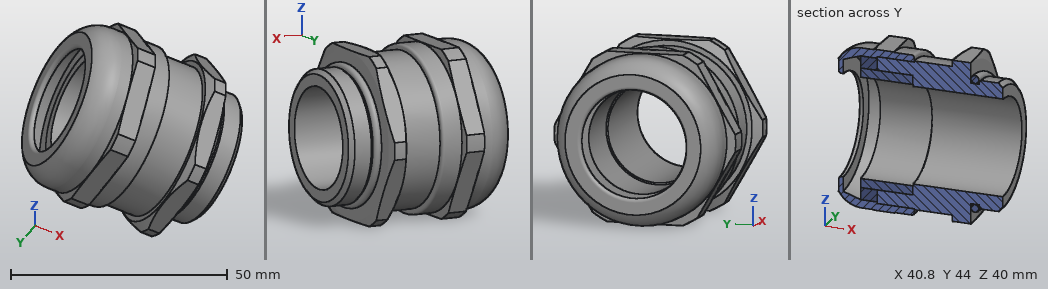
import cadquery as cq
import math

total_length = 40.75

hex_across_flats = 40.0
hex_corner_radius = 22.0
hex_face_radius = 19.8

cap_radius = 39.8 / 2
cap_end_x = 18.8
cap_end_round = 0.65
dome_end_x = 5.9
dome_face_radius = 16.45
lip_round = 0.8
lip_radius = 25.5 / 2
lip_end_x = 1.2
cavity_front_radius = 32.6 / 2
cap_hex_start_x = 8.85
cap_hex_end_x = 13.8
cap_hex_chamfer = 0.18

insert_start_x = 5.5
seal_end_x = 18.48
seal_bore_radius = 25.0 / 2
seal_radius = 29.8 / 2
cage_radius = 35.5 / 2

thread_start_x = 9.68
thread_radius = 36.25 / 2
barrel_radius = 37.0 / 2
housing_bore_radius = 24.1 / 2
housing_hex_start_x = 28.15
housing_hex_end_x = 32.8
housing_hex_front_chamfer = 1.28
housing_hex_rear_chamfer = 0.45
spigot_radius = 32.0 / 2
spigot_front_chamfer = 0.53
spigot_end_chamfer = 1.1

o_ring_outer_radius = 34.0 / 2
groove_radius = 30.0 / 2
o_ring_section = o_ring_outer_radius - groove_radius
groove_end_x = housing_hex_end_x + o_ring_section


def revolve(profile):
    """Turn a closed (x, radius) profile about the X axis."""
    return profile.close().revolve(360, (0, 0, 0), (1, 0, 0))


def tube(start_x, end_x, inner_radius, outer_radius):
    """Plain ring around the X axis."""
    ring = cq.Workplane("YZ", origin=(start_x, 0, 0)).circle(outer_radius).circle(inner_radius)
    return ring.extrude(end_x - start_x)


def hexagon(start_x, end_x, front_chamfer, rear_chamfer):
    """Hexagonal collar with flats facing +Z and -Z and conically turned corners."""
    prism = (
        cq.Workplane("YZ", origin=(start_x, 0, 0))
        .polygon(6, hex_across_flats / math.cos(math.pi / 6))
        .extrude(end_x - start_x)
    )
    turned_blank = revolve(
        cq.Workplane("XY")
        .moveTo(start_x, 0)
        .lineTo(start_x, hex_face_radius)
        .lineTo(start_x + front_chamfer, hex_corner_radius)
        .lineTo(end_x - rear_chamfer, hex_corner_radius)
        .lineTo(end_x, hex_face_radius)
        .lineTo(end_x, 0)
    )
    return prism.intersect(turned_blank)


def make_cap_nut():
    dome_drop = cap_radius - dome_face_radius
    dome_round = (dome_end_x**2 + dome_drop**2) / (2 * dome_drop)
    half_angle = math.asin(dome_end_x / dome_round) / 2
    dome_middle = (
        dome_end_x - dome_round * math.sin(half_angle),
        cap_radius - dome_round * (1 - math.cos(half_angle)),
    )
    outside = revolve(
        cq.Workplane("XY")
        .lineTo(0, dome_face_radius)
        .threePointArc(dome_middle, (dome_end_x, cap_radius))
        .lineTo(cap_end_x - cap_end_round, cap_radius)
        .radiusArc((cap_end_x, cap_radius - cap_end_round), cap_end_round)
        .lineTo(cap_end_x, 0)
    )
    inside = revolve(
        cq.Workplane("XY")
        .lineTo(0, lip_radius + lip_round)
        .radiusArc((lip_round, lip_radius), -lip_round)
        .lineTo(lip_end_x, lip_radius)
        .lineTo(lip_end_x, cavity_front_radius)
        .lineTo(insert_start_x, cage_radius)
        .lineTo(thread_start_x, cage_radius)
        .lineTo(thread_start_x, thread_radius)
        .lineTo(cap_end_x, thread_radius)
        .lineTo(cap_end_x, 0)
    )
    collar = hexagon(cap_hex_start_x, cap_hex_end_x, cap_hex_chamfer, cap_hex_chamfer)
    return outside.union(collar).cut(inside)


def make_seal():
    return tube(insert_start_x, seal_end_x, seal_bore_radius, seal_radius)


def make_clamp_cage():
    return tube(insert_start_x, thread_start_x, seal_radius, cage_radius)


def make_housing():
    spigot_start_radius = spigot_radius - spigot_front_chamfer
    outside = revolve(
        cq.Workplane("XY")
        .moveTo(thread_start_x, 0)
        .lineTo(thread_start_x, thread_radius)
        .lineTo(cap_end_x, thread_radius)
        .lineTo(cap_end_x, barrel_radius)
        .lineTo(housing_hex_end_x, barrel_radius)
        .lineTo(housing_hex_end_x, groove_radius)
        .lineTo(groove_end_x, groove_radius)
        .lineTo(groove_end_x, spigot_start_radius)
        .lineTo(groove_end_x + spigot_front_chamfer, spigot_radius)
        .lineTo(total_length - spigot_end_chamfer, spigot_radius)
        .lineTo(total_length, spigot_radius - spigot_end_chamfer)
        .lineTo(total_length, 0)
    )
    collar = hexagon(
        housing_hex_start_x, housing_hex_end_x, housing_hex_front_chamfer, housing_hex_rear_chamfer
    )
    inside = revolve(
        cq.Workplane("XY")
        .moveTo(thread_start_x, 0)
        .lineTo(thread_start_x, seal_radius)
        .lineTo(seal_end_x, seal_radius)
        .lineTo(seal_end_x, housing_bore_radius)
        .lineTo(total_length, housing_bore_radius)
        .lineTo(total_length, 0)
    )
    return outside.union(collar).cut(inside)


def make_o_ring():
    section_radius = o_ring_section / 2
    ring_radius = groove_radius + section_radius
    return (
        cq.Workplane("XY")
        .center(housing_hex_end_x + section_radius, ring_radius)
        .circle(section_radius)
        .revolve(360, (0, -ring_radius, 0), (1, -ring_radius, 0))
    )


cap_nut = make_cap_nut()
seal = make_seal()
clamp_cage = make_clamp_cage()
housing = make_housing()
o_ring = make_o_ring()

result = cq.Compound.makeCompound(
    [cap_nut.val(), seal.val(), clamp_cage.val(), housing.val(), o_ring.val()]
)